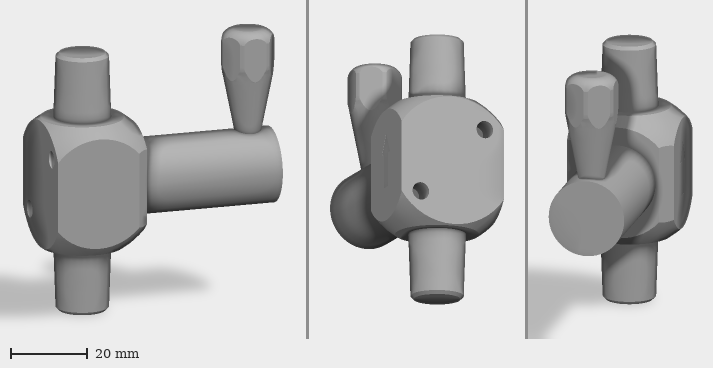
import cadquery as cq

BLOCK_WIDTH = 28.6
BLOCK_HEIGHT = 34.8
BLOCK_FRONT_Y = -11.5
BLOCK_BACK_Y = 14.15
BLOCK_EDGE_CHAMFER = 3.25
CORNER_SPHERE_RADIUS = 20.6

SPIGOT_END_Z = 34.8
SPIGOT_ROOT_RADIUS = 7.6
SPIGOT_TIP_RADIUS = 7.0
SPIGOT_CHAMFER = 0.9

HOLE_DIAMETER = 4.6
HOLE_OFFSET = 8.95
HOLE_DEPTH = 7.2

ARROW_TIP_Z = 8.5
ARROW_HEAD_Z = 3.1
ARROW_TAIL_Z = -5.9
ARROW_HEAD_HALF_WIDTH = 2.95
ARROW_SHAFT_HALF_WIDTH = 1.6
ARROW_DEPTH = 0.1

SHAFT_RADIUS = 10.1
SHAFT_END_Y = 51.9
LEVER_Y = 45.6
LEVER_TOP_Z = 37.4
LEVER_GRIP_RADIUS = 7.15
LEVER_FLAT_DISTANCE = 12.9
LEVER_STEM_RADIUS = 3.6
LEVER_STEM_TOP_Z = 27.7
LEVER_SHOULDER_Z = 34.4
LEVER_TOP_RADIUS = 3.4
LEVER_DOME_MID_RADIUS = 5.9
LEVER_DOME_MID_Z = 36.5
LEVER_NECK_BLEND = 5.8


def make_block():
    depth = BLOCK_BACK_Y - BLOCK_FRONT_Y
    center_y = (BLOCK_BACK_Y + BLOCK_FRONT_Y) / 2
    block = cq.Workplane("XY").box(BLOCK_WIDTH, depth, BLOCK_HEIGHT)
    block = block.edges("|Z and >Y").chamfer(BLOCK_EDGE_CHAMFER)
    block = block.translate((0, center_y, 0))
    return block.intersect(cq.Workplane("XY").sphere(CORNER_SPHERE_RADIUS))


def make_spigots():
    """Both tapered spigots, revolved as one bar through the block."""
    root_z = BLOCK_HEIGHT / 2
    chamfer_z = SPIGOT_END_Z - SPIGOT_CHAMFER
    end_radius = SPIGOT_TIP_RADIUS - SPIGOT_CHAMFER
    upper_half = (
        cq.Workplane("XZ")
        .polyline([
            (0, 0),
            (SPIGOT_ROOT_RADIUS, 0),
            (SPIGOT_ROOT_RADIUS, root_z),
            (SPIGOT_TIP_RADIUS, chamfer_z),
            (end_radius, SPIGOT_END_Z),
            (0, SPIGOT_END_Z),
        ])
        .close()
        .revolve(360, (0, 0, 0), (0, 1, 0))
    )
    return upper_half.union(upper_half.mirror("XY"))


def make_mounting_holes():
    return (
        cq.Workplane("XZ", origin=(0, BLOCK_FRONT_Y, 0))
        .pushPoints([(HOLE_OFFSET, HOLE_OFFSET), (-HOLE_OFFSET, -HOLE_OFFSET)])
        .circle(HOLE_DIAMETER / 2)
        .extrude(-HOLE_DEPTH)
    )


def make_flow_arrow():
    return (
        cq.Workplane("YZ", origin=(-BLOCK_WIDTH / 2, 0, 0))
        .polyline([
            (0, ARROW_TIP_Z),
            (ARROW_HEAD_HALF_WIDTH, ARROW_HEAD_Z),
            (ARROW_SHAFT_HALF_WIDTH, ARROW_HEAD_Z),
            (ARROW_SHAFT_HALF_WIDTH, ARROW_TAIL_Z),
            (-ARROW_SHAFT_HALF_WIDTH, ARROW_TAIL_Z),
            (-ARROW_SHAFT_HALF_WIDTH, ARROW_HEAD_Z),
            (-ARROW_HEAD_HALF_WIDTH, ARROW_HEAD_Z),
        ])
        .close()
        .extrude(ARROW_DEPTH)
    )


def make_housing():
    housing = make_block().union(make_spigots())
    return housing.cut(make_mounting_holes()).cut(make_flow_arrow())


def make_lever():
    """Tapered stem and domed grip, with six flats cut on the grip."""
    taper = (LEVER_GRIP_RADIUS - LEVER_STEM_RADIUS) / (LEVER_STEM_TOP_Z - SHAFT_RADIUS)
    axis_radius = LEVER_STEM_RADIUS - taper * SHAFT_RADIUS
    lever = (
        cq.Workplane("XZ")
        .lineTo(axis_radius, 0)
        .lineTo(LEVER_GRIP_RADIUS, LEVER_STEM_TOP_Z)
        .lineTo(LEVER_GRIP_RADIUS, LEVER_SHOULDER_Z)
        .threePointArc((LEVER_DOME_MID_RADIUS, LEVER_DOME_MID_Z), (LEVER_TOP_RADIUS, LEVER_TOP_Z))
        .lineTo(0, LEVER_TOP_Z)
        .close()
        .revolve(360, (0, 0, 0), (0, 1, 0))
    )
    neck_margin = 0.7
    neck_edge = cq.selectors.BoxSelector(
        (-SHAFT_RADIUS, -SHAFT_RADIUS, LEVER_STEM_TOP_Z - neck_margin),
        (SHAFT_RADIUS, SHAFT_RADIUS, LEVER_STEM_TOP_Z + neck_margin),
        boundingbox=True,
    )
    lever = lever.edges(neck_edge).fillet(LEVER_NECK_BLEND)
    hexagon = (
        cq.Workplane("XY")
        .polygon(6, LEVER_FLAT_DISTANCE, circumscribed=True)
        .extrude(LEVER_TOP_Z)
    )
    return lever.intersect(hexagon).translate((0, LEVER_Y, 0))


def make_handle():
    shaft = (
        cq.Workplane("XZ", origin=(0, BLOCK_BACK_Y, 0))
        .circle(SHAFT_RADIUS)
        .extrude(BLOCK_BACK_Y - SHAFT_END_Y)
    )
    return shaft.union(make_lever())


housing = make_housing()
handle = make_handle()
result = cq.Compound.makeCompound([housing.val(), handle.val()])